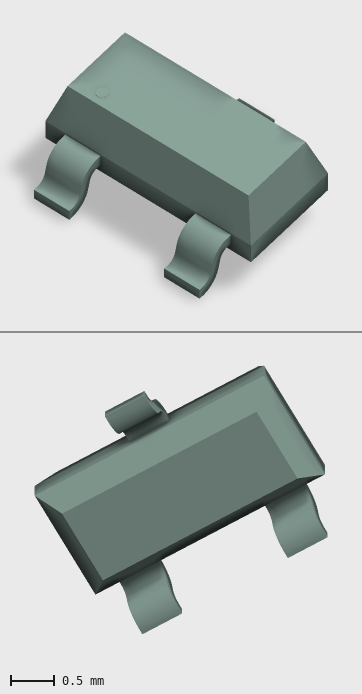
import cadquery as cq
import math

body_length = 3.0
body_width = 1.4
belt_bottom = 0.33
belt_top = 0.618
body_height = 1.195
top_inset = 0.18
bottom_inset = 0.228

overall_height = 1.2
marker_diameter = 0.15
marker_edge_distance = 0.345
marker_height = overall_height - body_height

overall_width = 2.54
lead_width = 0.515
lead_thickness = 0.15
lead_top = 0.597
lead_offset = 0.95
inner_bend_radius = 0.14
outer_bend_radius = inner_bend_radius + lead_thickness
bend_angle = 75.0
foot_flat = 0.06


def make_taper(start_z, end_z, inset):
    """Frustum from the full housing outline to an outline inset on all sides."""
    return (
        cq.Workplane("XY")
        .workplane(offset=start_z)
        .rect(body_length, body_width)
        .workplane(offset=end_z - start_z)
        .rect(body_length - 2 * inset, body_width - 2 * inset)
        .loft(ruled=True)
    )


def make_housing():
    belt = (
        cq.Workplane("XY")
        .workplane(offset=belt_bottom)
        .rect(body_length, body_width)
        .extrude(belt_top - belt_bottom)
    )
    cap = make_taper(belt_top, body_height, top_inset)
    base = make_taper(belt_bottom, 0, bottom_inset)
    return belt.union(cap).union(base)


def make_marker():
    marker_y = -body_width / 2 + marker_edge_distance
    return (
        cq.Workplane("XY")
        .workplane(offset=body_height)
        .center(-lead_offset, marker_y)
        .circle(marker_diameter / 2)
        .extrude(marker_height)
    )


def arc_point(center, radius, angle):
    """Point on a circle, with the angle in degrees from the first axis."""
    turn = math.radians(angle)
    return (center[0] + radius * math.cos(turn), center[1] + radius * math.sin(turn))


def make_front_lead(x_center):
    """S-shaped lead leaving the -Y side of the housing, centred at x_center."""
    tilt = math.radians(bend_angle)
    bend_radii = inner_bend_radius + outer_bend_radius
    drop = lead_top - lead_thickness
    leg_length = (drop - bend_radii * (1 - math.cos(tilt))) / math.sin(tilt)
    bend_run = bend_radii * math.sin(tilt) + leg_length * math.cos(tilt)

    toe_y = -overall_width / 2
    shoulder_y = -body_width / 2
    foot_center = (toe_y + foot_flat, lead_thickness + inner_bend_radius)
    shoulder_center = (foot_center[0] + bend_run, lead_top - outer_bend_radius)

    foot_mid = 270 + bend_angle / 2
    foot_end = 270 + bend_angle
    shoulder_mid = 90 + bend_angle / 2
    shoulder_end = 90 + bend_angle

    profile = (
        cq.Workplane("YZ")
        .workplane(offset=x_center - lead_width / 2)
        .moveTo(toe_y, 0)
        .lineTo(foot_center[0], 0)
        .threePointArc(
            arc_point(foot_center, outer_bend_radius, foot_mid),
            arc_point(foot_center, outer_bend_radius, foot_end),
        )
        .lineTo(*arc_point(shoulder_center, inner_bend_radius, shoulder_end))
        .threePointArc(
            arc_point(shoulder_center, inner_bend_radius, shoulder_mid),
            arc_point(shoulder_center, inner_bend_radius, 90),
        )
        .lineTo(shoulder_y, lead_top - lead_thickness)
        .lineTo(shoulder_y, lead_top)
        .lineTo(shoulder_center[0], lead_top)
        .threePointArc(
            arc_point(shoulder_center, outer_bend_radius, shoulder_mid),
            arc_point(shoulder_center, outer_bend_radius, shoulder_end),
        )
        .lineTo(*arc_point(foot_center, inner_bend_radius, foot_end))
        .threePointArc(
            arc_point(foot_center, inner_bend_radius, foot_mid),
            arc_point(foot_center, inner_bend_radius, 270),
        )
        .lineTo(toe_y, lead_thickness)
        .close()
    )
    return profile.extrude(lead_width)


lead_places = [(-lead_offset, 0), (lead_offset, 0), (0, 180)]

housing = make_housing()
marker = make_marker()
leads = []
for lead_x, turn_angle in lead_places:
    lead = make_front_lead(lead_x).rotate((0, 0, 0), (0, 0, 1), turn_angle)
    leads.append(lead.val())

result = cq.Compound.makeCompound([housing.val(), marker.val(), *leads])